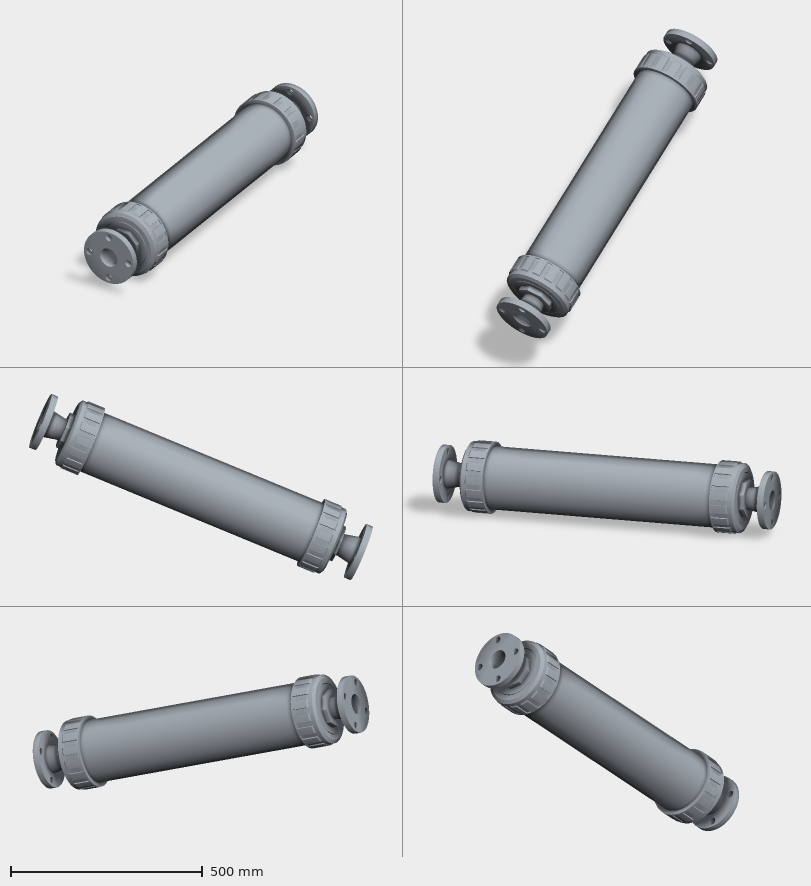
import cadquery as cq
import math

half_length = 455.0

tube_diameter = 166.0
plug_diameter = 133.0
bore_diameter = 48.0
bore_mouth_diameter = 53.0

flange_diameter = 152.0
flange_thickness = 17.0
bolt_hole_diameter = 19.0
bolt_circle_diameter = 120.0
bolt_count = 4

cone_large_diameter = 75.0
collar_length = 3.0
neck_diameter = 60.0
neck_length = 7.0

octagon_sides = 8
octagon_across_flats = 92.0
octagon_length = 13.0
recess_diameter = 101.0
recess_depth = 2.0

nut_diameter = 183.0
nut_rib_diameter = 189.0
nut_face_diameter = 165.0
nut_opening_diameter = 137.0
nut_chamfer_length = 5.5
nut_lip_thickness = 18.0
nut_length = 66.5
nut_rim_length = 4.0
rib_length = 49.0
rib_height = (nut_rib_diameter - nut_diameter) / 2
rib_count = 16
rib_width = 22.0
rib_start_angle = 7.5

nut_face_y = 379.0
nut_rear_y = nut_face_y - nut_length
rib_front_y = nut_rear_y + rib_length
tube_end_y = nut_face_y - nut_lip_thickness
recess_floor_y = nut_face_y - recess_depth
octagon_end_y = nut_face_y + octagon_length
cone_start_y = octagon_end_y + neck_length
flange_inner_y = half_length - flange_thickness


def disc(diameter, start_y, end_y):
    """Cylinder on the Y axis between two stations."""
    return (
        cq.Workplane("XZ", origin=(0, start_y, 0))
        .circle(diameter / 2)
        .extrude(start_y - end_y)
    )


def revolved(points):
    """Turn an outline of (radius, y) points about the Y axis."""
    return cq.Workplane("XY").polyline(points).close().revolve(360, (0, 0, 0), (0, 1, 0))


def other_end(shape):
    """Turn a shape half round about Z, to the opposite end of the part."""
    return shape.rotate((0, 0, 0), (0, 0, 1), 180)


def make_octagon():
    """Octagon with flats square to X and Z, standing on the recess floor."""
    corner_diameter = octagon_across_flats / math.cos(math.pi / octagon_sides)
    return (
        cq.Workplane("XZ", origin=(0, recess_floor_y, 0))
        .polygon(octagon_sides, corner_diameter)
        .extrude(recess_floor_y - octagon_end_y)
        .rotate((0, 0, 0), (0, 1, 0), 180 / octagon_sides)
    )


def make_neck():
    """Short cylinder, cone and thin collar against the flange."""
    return revolved([
        (0, octagon_end_y),
        (neck_diameter / 2, octagon_end_y),
        (neck_diameter / 2, cone_start_y),
        (cone_large_diameter / 2, flange_inner_y - collar_length),
        (cone_large_diameter / 2, flange_inner_y),
        (0, flange_inner_y),
    ])


def make_flange():
    """Round flange with a ring of through holes."""
    bolt_holes = (
        cq.Workplane("XZ", origin=(0, flange_inner_y, 0))
        .polarArray(bolt_circle_diameter / 2, 0, 360, bolt_count)
        .circle(bolt_hole_diameter / 2)
        .extrude(-flange_thickness)
    )
    return disc(flange_diameter, flange_inner_y, half_length).cut(bolt_holes)


def make_bore_mouth():
    """Tapered mouth that widens the bore from the neck out to the flange face."""
    return revolved([
        (0, cone_start_y),
        (bore_diameter / 2, cone_start_y),
        (bore_mouth_diameter / 2, half_length),
        (0, half_length),
    ])


def make_housing():
    """Tube with a plug, octagon, tapered neck and flange at each end, bored right through."""
    end = (
        disc(plug_diameter, tube_end_y, nut_face_y)
        .cut(disc(recess_diameter, recess_floor_y, nut_face_y))
        .union(make_octagon())
        .union(make_neck())
        .union(make_flange())
        .cut(make_bore_mouth())
    )
    tube = disc(tube_diameter, -tube_end_y, tube_end_y)
    bore = disc(bore_diameter, -half_length, half_length)
    return tube.union(end).union(other_end(end)).cut(bore)


def make_grip():
    """Grip sleeve: ribs parted by slots that run out at the front and stop at a rear rim."""
    sleeve = revolved([
        (0, nut_rear_y),
        (nut_rib_diameter / 2, nut_rear_y),
        (nut_rib_diameter / 2, rib_front_y - rib_height),
        (nut_diameter / 2, rib_front_y),
        (0, rib_front_y),
    ])
    slot_start_y = nut_rear_y + nut_rim_length
    slot_ring = disc(nut_rib_diameter, slot_start_y, rib_front_y).cut(
        disc(nut_diameter, slot_start_y, rib_front_y)
    )
    for index in range(rib_count):
        angle = rib_start_angle + index * 360 / rib_count
        rib_space = (
            cq.Workplane("XY")
            .box(rib_width, rib_front_y - slot_start_y, nut_rib_diameter, centered=(True, False, False))
            .translate((0, slot_start_y, 0))
            .rotate((0, 0, 0), (0, 1, 0), angle)
        )
        slot_ring = slot_ring.cut(rib_space)
    return sleeve.cut(slot_ring)


def make_nut():
    """Ribbed union nut: fits round the tube and its lip closes over the tube end."""
    blank = revolved([
        (0, nut_rear_y),
        (nut_diameter / 2, nut_rear_y),
        (nut_diameter / 2, nut_face_y - nut_chamfer_length),
        (nut_face_diameter / 2, nut_face_y),
        (0, nut_face_y),
    ])
    return (
        blank.union(make_grip())
        .cut(disc(tube_diameter, nut_rear_y, tube_end_y))
        .cut(disc(nut_opening_diameter, tube_end_y, nut_face_y))
    )


housing = make_housing()
nut = make_nut()
nuts = [nut, other_end(nut)]

result = cq.Compound.makeCompound([housing.val(), *[each_nut.val() for each_nut in nuts]])